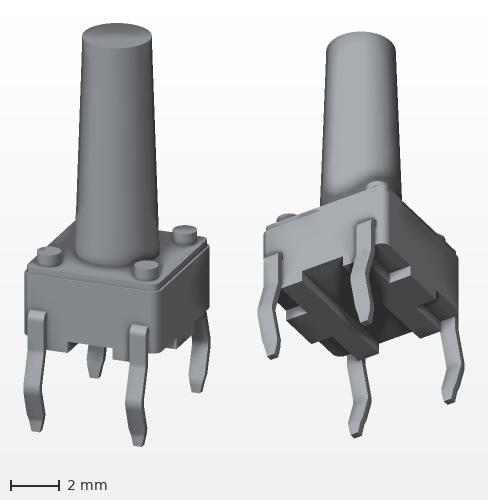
import cadquery as cq
import math


body_side = 6.0
body_corner_radius = 0.4
foot_bottom_z = 3.5
body_bottom_z = 4.0
body_top_z = 6.7

cover_inset = 0.1
cover_top_z = 7.0

rivet_diameter = 1.0
rivet_offset = 2.15
rivet_top_z = 7.5

plunger_base_diameter = 3.5
plunger_top_diameter = 2.85
plunger_top_z = 16.5

foot_gap = 1.96
foot_width = 1.0

pin_offset_x = 2.25
pin_width = 0.71
pin_tip_width = 0.36
pin_taper_height = 0.76
pin_thickness = 0.3
pin_top_z = 5.2
pin_straight_y = 3.4
pin_span_y = 7.74
pin_reach_y = pin_span_y / 2
pin_kink_z = 2.01
pin_lean = math.radians(18.7)
bend_inner_radius = 0.45
bend_outer_radius = bend_inner_radius + pin_thickness
shoulder_radius = 0.35
pin_embedment = 0.16


def rounded_square(side, corner_radius, bottom_z, top_z):
    plate = cq.Workplane("XY").workplane(offset=bottom_z).rect(side, side).extrude(top_z - bottom_z)
    return plate.edges("|Z").fillet(corner_radius)


def make_housing():
    body = rounded_square(body_side, body_corner_radius, body_bottom_z, body_top_z)
    cover = rounded_square(
        body_side - 2 * cover_inset, body_corner_radius - cover_inset, body_top_z, cover_top_z
    )
    return body.union(cover)


def make_feet():
    """Two bars along Y, each with a tab reaching the nearby X face."""
    foot_height = body_bottom_z - foot_bottom_z
    tab_length = (body_side - foot_gap) / 2
    plane = cq.Workplane("XY").workplane(offset=foot_bottom_z)
    bar_x = (foot_gap + foot_width) / 2
    tab_x = (foot_gap + tab_length) / 2
    bars = plane.pushPoints([(-bar_x, 0), (bar_x, 0)]).rect(foot_width, body_side).extrude(foot_height)
    tabs = plane.pushPoints([(-tab_x, 0), (tab_x, 0)]).rect(tab_length, foot_gap).extrude(foot_height)
    return bars.union(tabs)


def make_rivets():
    span = 2 * rivet_offset
    plane = cq.Workplane("XY").workplane(offset=cover_top_z)
    centres = plane.rect(span, span, forConstruction=True).vertices()
    return centres.circle(rivet_diameter / 2).extrude(rivet_top_z - cover_top_z)


def make_plunger():
    return (
        cq.Workplane("XY")
        .workplane(offset=cover_top_z)
        .circle(plunger_base_diameter / 2)
        .workplane(offset=plunger_top_z - cover_top_z)
        .circle(plunger_top_diameter / 2)
        .loft(ruled=True)
    )


def offset_points(points, distance):
    """Move the points along Y."""
    return [(y + distance, z) for y, z in points]


def round_edge(solid, y, z, radius):
    """Fillet the edge along X that passes through (y, z)."""
    return solid.edges(cq.selectors.NearestToPointSelector((0, y, z))).fillet(radius)


def round_bend(solid, convex_y, concave_y, z):
    """Round both faces of a bend with concentric arcs."""
    solid = round_edge(solid, convex_y, z, bend_outer_radius)
    return round_edge(solid, concave_y, z, bend_inner_radius)


def make_pin():
    """Pin centred on X = 0 that leaves the housing toward +Y."""
    sharp_kink_y = pin_reach_y + bend_outer_radius * (1 / math.cos(pin_lean) - 1)
    kink_rise = (sharp_kink_y - pin_straight_y) / math.tan(pin_lean)
    upper_bend_z = pin_kink_z + kink_rise
    lower_bend_z = pin_kink_z - kink_rise
    root_y = body_side / 2 - pin_embedment

    outer_side = [
        (pin_straight_y, pin_top_z),
        (pin_straight_y, upper_bend_z),
        (sharp_kink_y, pin_kink_z),
        (pin_straight_y, lower_bend_z),
        (pin_straight_y, 0),
    ]
    inner_side = offset_points(outer_side[1:], -pin_thickness)
    inner_corner = (pin_straight_y - pin_thickness, pin_top_z - pin_thickness)
    root = [(root_y, pin_top_z - pin_thickness), (root_y, pin_top_z)]
    profile = outer_side + inner_side[::-1] + [inner_corner] + root
    strip = cq.Workplane("YZ").polyline(profile).close().extrude(pin_width / 2, both=True)

    strip = round_edge(strip, pin_straight_y, pin_top_z, shoulder_radius)
    strip = round_bend(strip, sharp_kink_y, sharp_kink_y - pin_thickness, pin_kink_z)
    for bend_z in (upper_bend_z, lower_bend_z):
        strip = round_bend(strip, pin_straight_y - pin_thickness, pin_straight_y, bend_z)

    outline = (
        cq.Workplane("XZ")
        .polyline([
            (-pin_tip_width / 2, 0),
            (pin_tip_width / 2, 0),
            (pin_width / 2, pin_taper_height),
            (pin_width / 2, pin_top_z),
            (-pin_width / 2, pin_top_z),
            (-pin_width / 2, pin_taper_height),
        ])
        .close()
        .extrude(-body_side)
    )
    return strip.intersect(outline)


result = make_housing().union(make_feet()).union(make_rivets()).union(make_plunger())
pin = make_pin()
for side_x in (-pin_offset_x, pin_offset_x):
    for turn in (0, 180):
        result = result.union(pin.translate((side_x, 0, 0)).rotate((0, 0, 0), (0, 0, 1), turn))